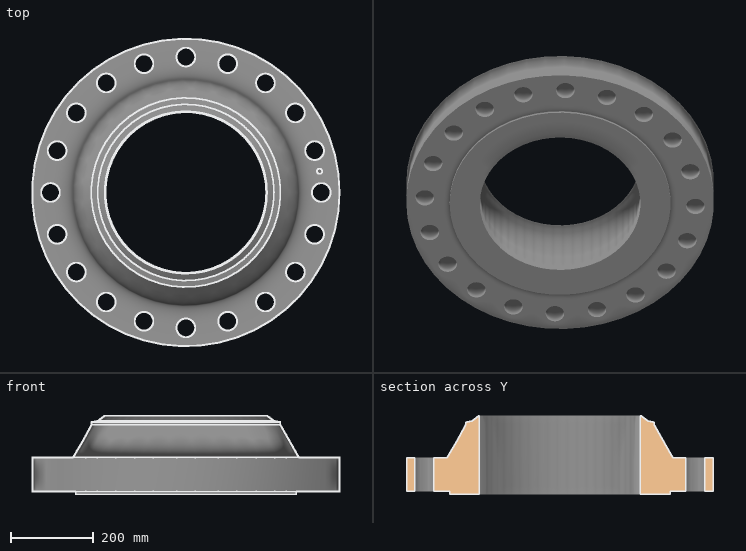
import cadquery as cq

flange_diameter = 743.0
flange_thickness = 82.5
face_diameter = 533.0
face_height = 7.0

overall_height = 190.0
hub_base_diameter = 546.0
hub_top_diameter = 457.0
hub_fillet_radius = 3.0
hub_lip_height = 7.0
bore_diameter = 388.0
root_land_width = 2.0
bevel_height = 12.5
bevel_base_diameter = 425.5
shoulder_drop = 3.0

bolt_count = 20
bolt_circle_diameter = 653.5
bolt_hole_diameter = 44.5
bolt_pitch_angle = 360 / bolt_count

small_hole_diameter = 12.5
small_hole_depth = 4.0

flange_top = face_height + flange_thickness
bevel_base = overall_height - bevel_height
lip_top = bevel_base - shoulder_drop
lip_bottom = lip_top - hub_lip_height


def flange_body():
    """Revolve the half section, given as (radius, height), around Z."""
    bore_radius = bore_diameter / 2
    section = [
        (bore_radius, 0),
        (face_diameter / 2, 0),
        (face_diameter / 2, face_height),
        (flange_diameter / 2, face_height),
        (flange_diameter / 2, flange_top),
        (hub_base_diameter / 2, flange_top),
        (hub_top_diameter / 2, lip_bottom),
        (hub_top_diameter / 2, lip_top),
        (bevel_base_diameter / 2, bevel_base),
        (bore_radius + root_land_width, overall_height),
        (bore_radius, overall_height),
    ]
    body = cq.Workplane("XZ").polyline(section).close().revolve(360, (0, 0), (0, 1))
    hub_foot = cq.selectors.RadiusNthSelector(-2)
    return body.edges("%CIRCLE").edges(hub_foot).fillet(hub_fillet_radius)


def bolt_circle_cutters(diameter, depth, start_angle, count):
    """Cylinders on the bolt circle that reach down from the flange top."""
    return (
        cq.Workplane("XY", origin=(0, 0, flange_top))
        .polarArray(bolt_circle_diameter / 2, start_angle, 360, count)
        .circle(diameter / 2)
        .extrude(-depth)
    )


bolt_holes = bolt_circle_cutters(bolt_hole_diameter, flange_thickness, 0, bolt_count)
small_hole = bolt_circle_cutters(small_hole_diameter, small_hole_depth, bolt_pitch_angle / 2, 1)

result = flange_body().cut(bolt_holes).cut(small_hole)